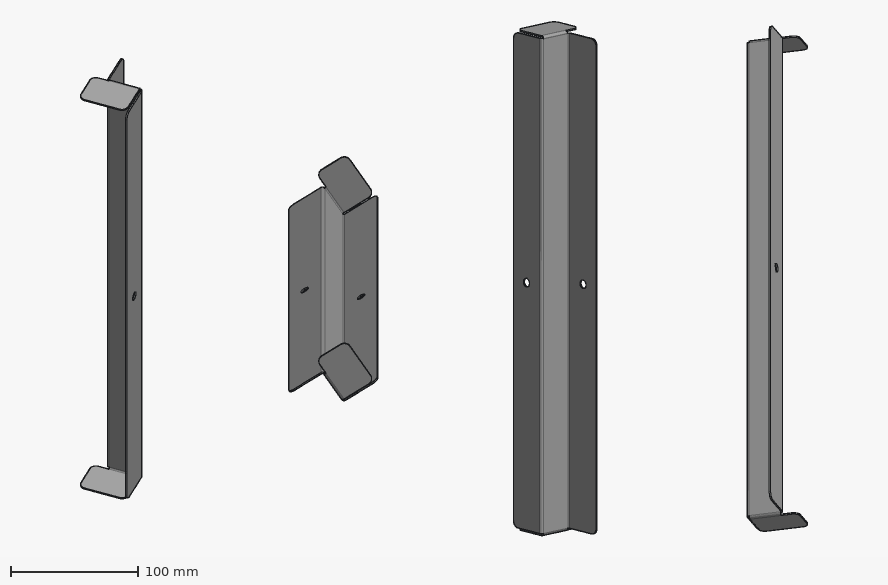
import cadquery as cq
import math

height = 404.0
depth = 64.0
width = 42.0

thickness = 1.25
inner_radius = 1.0
outer_radius = inner_radius + thickness
corner_radius = 5.3

web_width = 30.5
flange_end_inset = 2.0
flange_height = height - 2 * flange_end_inset

tab_width = 40.0
tab_front_inset = 2.0

hole_diameter = 7.0
hole_edge_distance = 15.0

rear_flange_x = width - web_width
web_rear_y = (depth + thickness) / 2
web_front_y = web_rear_y - thickness
left_bend_end_x = rear_flange_x + outer_radius
right_bend_start_x = width - outer_radius
tab_rear_y = web_rear_y - outer_radius
web_flat_top = height / 2 - outer_radius
diagonal = math.sqrt(0.5)


def bent_sheet():
    """Z section extruded upright, with its four free corners rounded."""
    left_center = (left_bend_end_x, web_front_y + outer_radius)
    right_center = (right_bend_start_x, web_rear_y - outer_radius)

    def on_left_bend(radius):
        return left_center[0] - radius * diagonal, left_center[1] - radius * diagonal

    def on_right_bend(radius):
        return right_center[0] + radius * diagonal, right_center[1] + radius * diagonal

    section = (
        cq.Workplane("XY", origin=(0, 0, -flange_height / 2))
        .moveTo(rear_flange_x, depth)
        .lineTo(rear_flange_x, left_center[1])
        .threePointArc(on_left_bend(outer_radius), (left_center[0], web_front_y))
        .lineTo(right_center[0], web_front_y)
        .threePointArc(on_right_bend(inner_radius), (width - thickness, right_center[1]))
        .lineTo(width - thickness, 0)
        .lineTo(width, 0)
        .lineTo(width, right_center[1])
        .threePointArc(on_right_bend(outer_radius), (right_center[0], web_rear_y))
        .lineTo(left_center[0], web_rear_y)
        .threePointArc(on_left_bend(inner_radius), (rear_flange_x + thickness, left_center[1]))
        .lineTo(rear_flange_x + thickness, depth)
        .close()
    )
    sheet = section.extrude(flange_height)
    free_corners = sheet.faces("<Y or >Y").edges("|X")
    return free_corners.fillet(corner_radius)


def web_end_trim():
    """Space above the flat of the web, where the tab bend takes over."""
    bend_width = right_bend_start_x - left_bend_end_x
    return (
        cq.Workplane("XY", origin=(left_bend_end_x, web_front_y, web_flat_top))
        .rect(bend_width, thickness, centered=False)
        .extrude(outer_radius)
    )


def top_tab():
    """Flat tab with rounded corners and the bend that joins it to the web."""
    tab_length = tab_rear_y - tab_front_inset
    plate = (
        cq.Workplane("XY", origin=(0, tab_front_inset, height / 2 - thickness))
        .rect(tab_width, tab_length, centered=False)
        .extrude(thickness)
        .edges("|Z and (<X or <Y)")
        .fillet(corner_radius)
    )

    def on_bend(radius):
        return tab_rear_y + radius * diagonal, web_flat_top + radius * diagonal

    bend = (
        cq.Workplane("YZ", origin=(left_bend_end_x, 0, 0))
        .moveTo(web_rear_y, web_flat_top)
        .threePointArc(on_bend(outer_radius), (tab_rear_y, height / 2))
        .lineTo(tab_rear_y, height / 2 - thickness)
        .threePointArc(on_bend(inner_radius), (web_front_y, web_flat_top))
        .close()
        .extrude(right_bend_start_x - left_bend_end_x)
    )
    return plate.union(bend)


def mounting_holes():
    """Drills through both flanges at mid-height."""
    return (
        cq.Workplane("YZ")
        .pushPoints([(hole_edge_distance, 0), (depth - hole_edge_distance, 0)])
        .circle(hole_diameter / 2)
        .extrude(width)
    )


trim = web_end_trim()
tab = top_tab()
result = (
    bent_sheet()
    .cut(trim)
    .cut(trim.mirror("XY"))
    .union(tab)
    .union(tab.mirror("XY"))
    .cut(mounting_holes())
)